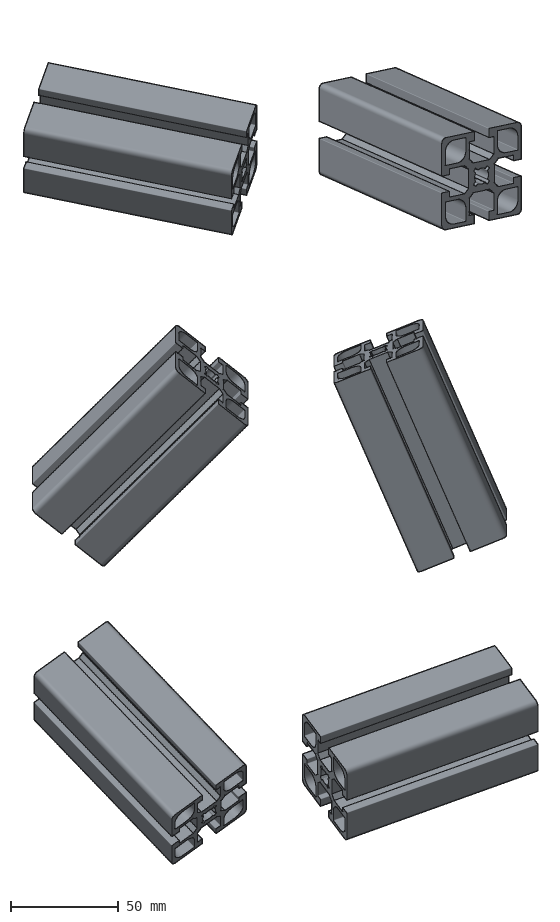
import cadquery as cq

length = 100.0
width = 45.0
half_width = width / 2
corner_radius = 2.5

slot_opening = 8.2
lip_thickness = 4.5
lip_edge_radius = 0.3
cavity_width = 13.8
cavity_corner_radius = 0.3
core_width = 14.5
floor_chamfer = 2.3

wall = 2.0
chamber_large_radius = 5.0
chamber_small_radius = 0.3

bore_diameter = 7.8
groove_width = 1.8
groove_tip_radius = 5.4
groove_edge_radius = 0.2


def extrude_full_length(outline):
    """Extrude a YZ outline over the whole length, centred on X = 0."""
    return outline.extrude(length / 2, both=True)


def fillet_lengthwise_edges(body, points, radius):
    """Round the X-parallel edges that pass through the given YZ points."""
    for y, z in points:
        edge = cq.selectors.NearestToPointSelector((0, y, z))
        body = body.edges("|X").edges(edge).fillet(radius)
    return body


def make_bar():
    section = cq.Workplane("YZ").rect(width, width)
    return extrude_full_length(section).edges("|X").fillet(corner_radius)


def make_slot():
    """T-slot open toward +Z, with its floor corners chamfered."""
    half_opening = slot_opening / 2
    half_cavity = cavity_width / 2
    floor_z = core_width / 2
    lip_z = half_width - lip_thickness
    half_floor = half_cavity - floor_chamfer
    chamfer_z = floor_z + floor_chamfer

    outline = cq.Workplane("YZ").polyline([
        (-half_floor, floor_z),
        (half_floor, floor_z),
        (half_cavity, chamfer_z),
        (half_cavity, lip_z),
        (half_opening, lip_z),
        (half_opening, half_width),
        (-half_opening, half_width),
        (-half_opening, lip_z),
        (-half_cavity, lip_z),
        (-half_cavity, chamfer_z),
    ]).close()
    slot = extrude_full_length(outline)
    cavity_corners = [(-half_cavity, lip_z), (half_cavity, lip_z)]
    slot = fillet_lengthwise_edges(slot, cavity_corners, cavity_corner_radius)
    lip_inner_edges = [(-half_opening, lip_z), (half_opening, lip_z)]
    return fillet_lengthwise_edges(slot, lip_inner_edges, lip_edge_radius)


def make_chamber():
    """Chamber of the +Y +Z corner: large radii on the diagonal, small ones off it."""
    inner = cavity_width / 2 + wall
    outer = half_width - wall
    centre = (inner + outer) / 2
    size = outer - inner
    chamber = extrude_full_length(cq.Workplane("YZ").center(centre, centre).rect(size, size))
    chamber = fillet_lengthwise_edges(chamber, [(inner, inner), (outer, outer)], chamber_large_radius)
    return fillet_lengthwise_edges(chamber, [(inner, outer), (outer, inner)], chamber_small_radius)


def make_bore():
    """Bore with diagonal grooves, rounded at the groove tips and groove mouths."""
    bore = extrude_full_length(cq.Workplane("YZ").circle(bore_diameter / 2))
    groove = extrude_full_length(cq.Workplane("YZ").rect(2 * groove_tip_radius, groove_width))
    groove = groove.edges("|X").fillet(groove_edge_radius)
    for angle in (45, 135):
        bore = bore.union(groove.rotate((0, 0, 0), (1, 0, 0), angle))
    mouth_zone = bore_diameter / 2
    groove_mouths = cq.selectors.BoxSelector(
        (-length, -mouth_zone, -mouth_zone),
        (length, mouth_zone, mouth_zone),
    )
    return bore.edges("|X").edges(groove_mouths).fillet(groove_edge_radius)


def round_lip_outer_edges(body):
    """Round the two edges where the +Z slot opening meets the +Z side."""
    half_opening = slot_opening / 2
    edges = [(-half_opening, half_width), (half_opening, half_width)]
    return fillet_lengthwise_edges(body, edges, lip_edge_radius)


result = make_bar().cut(make_bore())
slot = make_slot()
chamber = make_chamber()
number_of_sides = 4
for _ in range(number_of_sides):
    result = result.cut(slot).cut(chamber)
    result = round_lip_outer_edges(result)
    result = result.rotate((0, 0, 0), (1, 0, 0), 360 / number_of_sides)